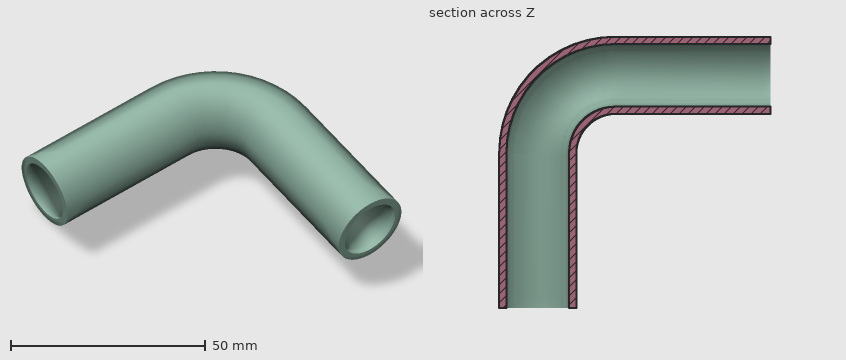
import cadquery as cq
import math

overall_length = 70.0
outer_diameter = 20.0
inner_diameter = 16.0
bend_radius = outer_diameter

leg_end = overall_length - outer_diameter / 2
bend_midpoint = bend_radius * (1 - math.sqrt(0.5))

centreline = (
    cq.Workplane("XY")
    .moveTo(0, -leg_end)
    .lineTo(0, -bend_radius)
    .threePointArc((bend_midpoint, -bend_midpoint), (bend_radius, 0))
    .lineTo(leg_end, 0)
)

result = (
    cq.Workplane("XZ", origin=(0, -leg_end, 0))
    .circle(outer_diameter / 2)
    .circle(inner_diameter / 2)
    .sweep(centreline)
)